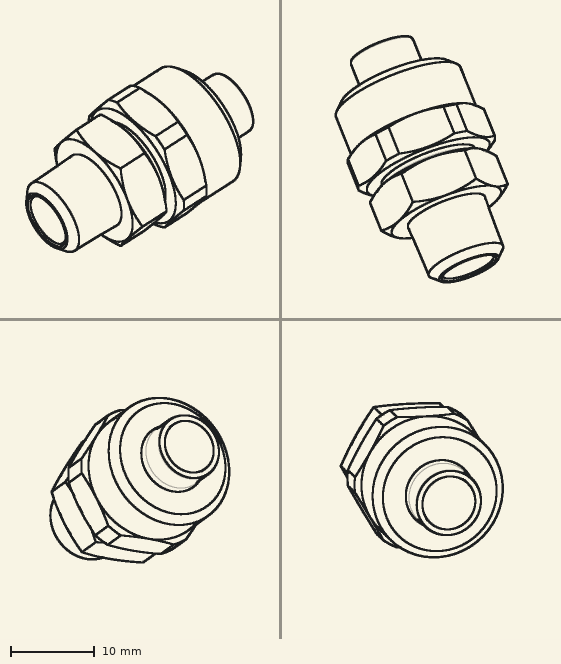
import cadquery as cq
import math

thread_chamfer_end = 1.0
small_hex_start = 7.48
small_hex_end = 12.5
neck_flare_end = 13.0
large_hex_start = 13.5
large_hex_end = 18.0
body_chamfer_start = 23.5
body_end = 24.5
collar_end = 25.4
total_length = 29.0

bore_diameter = 6.5
bore_mouth_diameter = 6.95
thread_tip_diameter = 7.6
thread_front_diameter = 9.57
thread_root_diameter = 9.9
neck_diameter = 12.0
neck_base_diameter = 12.4
body_diameter = 16.0
spigot_diameter = 8.0
collar_diameter = 8.35
large_hex_corner_diameter = 17.5

small_hex_across_flats = 14.0
large_hex_across_flats = body_diameter
large_hex_front_diameter = 15.72
hex_chamfer_angle = 30
spigot_chamfer_length = 0.2
spigot_chamfer_depth = 0.05


def revolve_about_y(points):
    """Revolve a (radius, Y) outline about the Y axis."""
    return cq.Workplane("XY").polyline(points).close().revolve(360, (0, 0, 0), (0, 1, 0))


def hex_vertex_diameter(across_flats):
    """Diameter of the circle through the six hexagon vertices."""
    return across_flats / math.cos(math.pi / 6)


def chamfered_hex(across_flats, start, end, corner_diameter, front_diameter, back_diameter):
    """Hexagon with flats facing +Z and -Z and conically chamfered ends."""
    prism = (
        cq.Workplane("XZ", origin=(0, start, 0))
        .polygon(6, hex_vertex_diameter(across_flats))
        .extrude(start - end)
    )
    slope = math.tan(math.radians(hex_chamfer_angle))
    corner_radius = corner_diameter / 2
    front_radius = front_diameter / 2
    back_radius = back_diameter / 2
    envelope = revolve_about_y([
        (0, start),
        (front_radius, start),
        (corner_radius, start + (corner_radius - front_radius) * slope),
        (corner_radius, end - (corner_radius - back_radius) * slope),
        (back_radius, end),
        (0, end),
    ])
    return prism.intersect(envelope)


def flare_midpoint(base_radius, end_radius, base_y, end_y):
    """Middle of a concave arc that meets the end_radius cylinder tangentially."""
    length = end_y - base_y
    spread = base_radius - end_radius
    arc_radius = (length**2 + spread**2) / (2 * spread)
    half_sweep = math.asin(length / arc_radius) / 2
    return (
        end_radius + arc_radius * (1 - math.cos(half_sweep)),
        end_y - arc_radius * math.sin(half_sweep),
    )


thread_tip_radius = thread_tip_diameter / 2
thread_front_radius = thread_front_diameter / 2
thread_root_radius = thread_root_diameter / 2
neck_radius = neck_diameter / 2
neck_base_radius = neck_base_diameter / 2
body_radius = body_diameter / 2
collar_radius = collar_diameter / 2
spigot_radius = spigot_diameter / 2
neck_flare_middle = flare_midpoint(neck_base_radius, neck_radius, small_hex_end, neck_flare_end)
collar_flare_middle = flare_midpoint(collar_radius, spigot_radius, body_end, collar_end)

core_outline = (
    cq.Workplane("XY")
    .lineTo(thread_tip_radius, 0)
    .lineTo(thread_front_radius, thread_chamfer_end)
    .lineTo(thread_root_radius, small_hex_start)
    .lineTo(neck_base_radius, small_hex_start)
    .lineTo(neck_base_radius, small_hex_end)
    .threePointArc(neck_flare_middle, (neck_radius, neck_flare_end))
    .lineTo(neck_radius, large_hex_end)
    .lineTo(body_radius, large_hex_end)
    .lineTo(body_radius, body_chamfer_start)
    .lineTo(body_radius - (body_end - body_chamfer_start), body_end)
    .lineTo(collar_radius, body_end)
    .threePointArc(collar_flare_middle, (spigot_radius, collar_end))
    .lineTo(spigot_radius, total_length - spigot_chamfer_length)
    .lineTo(spigot_radius - spigot_chamfer_depth, total_length)
    .lineTo(0, total_length)
    .close()
)
core = core_outline.revolve(360, (0, 0, 0), (0, 1, 0))

small_hex = chamfered_hex(
    small_hex_across_flats,
    small_hex_start,
    small_hex_end,
    hex_vertex_diameter(small_hex_across_flats),
    small_hex_across_flats,
    small_hex_across_flats,
)
large_hex = chamfered_hex(
    large_hex_across_flats,
    large_hex_start,
    large_hex_end,
    large_hex_corner_diameter,
    large_hex_front_diameter,
    large_hex_across_flats,
)

bore_mouth_depth = (bore_mouth_diameter - bore_diameter) / 2
bore = revolve_about_y([
    (0, 0),
    (bore_mouth_diameter / 2, 0),
    (bore_diameter / 2, bore_mouth_depth),
    (bore_diameter / 2, total_length),
    (0, total_length),
])

result = core.union(small_hex).union(large_hex).cut(bore)